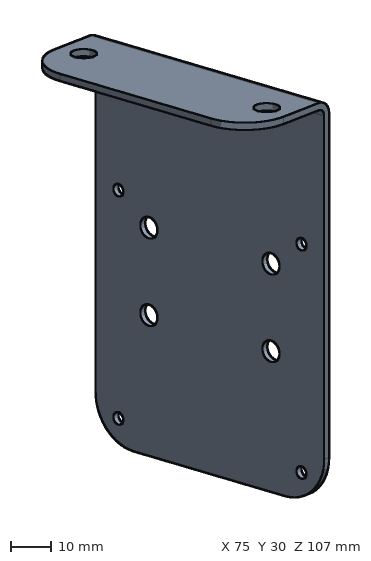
import cadquery as cq

width = 75.0
depth = 30.0
height = 107.0

thickness = 1.9
inner_bend_radius = 2.0
outer_bend_radius = inner_bend_radius + thickness
corner_radius = 12.7

small_hole_diameter = 3.2
small_hole_spacing = 60.0
small_hole_bottom = 7.5
large_hole_diameter = 5.6
large_hole_spacing_x = 40.0
large_hole_spacing_z = 23.0
large_hole_bottom = 37.0

flange_hole_diameter = 6.5
flange_hole_setback = 15.0


def bent_sheet():
    """L-shaped sheet: upright with its back face at Y = 0, flange toward -Y."""
    profile = (
        cq.Workplane("YZ")
        .polyline([
            (0, 0),
            (0, height),
            (-depth, height),
            (-depth, height - thickness),
            (-thickness, height - thickness),
            (-thickness, 0),
        ])
        .close()
        .extrude(width / 2, both=True)
    )
    inner_bend = cq.selectors.NearestToPointSelector((0, -thickness, height - thickness))
    outer_bend = cq.selectors.NearestToPointSelector((0, 0, height))
    return (
        profile
        .edges(inner_bend).fillet(inner_bend_radius)
        .edges(outer_bend).fillet(outer_bend_radius)
    )


def round_free_corners(sheet):
    """Round the two lower corners of the upright and the two front corners of the flange."""
    return (
        sheet
        .faces("<Z").edges("|Y").fillet(corner_radius)
        .faces("<Y").edges("|Z").fillet(corner_radius)
    )


def upright_holes(diameter, spacing_x, spacing_z, bottom):
    """Cutters for a rectangle of four holes through the upright."""
    return (
        cq.Workplane("XZ")
        .center(0, bottom + spacing_z / 2)
        .rect(spacing_x, spacing_z, forConstruction=True)
        .vertices()
        .circle(diameter / 2)
        .extrude(thickness)
    )


def flange_holes():
    """Cutters for the pair of holes through the top flange."""
    half_spacing = small_hole_spacing / 2
    return (
        cq.Workplane("XY", origin=(0, -flange_hole_setback, height))
        .pushPoints([(-half_spacing, 0), (half_spacing, 0)])
        .circle(flange_hole_diameter / 2)
        .extrude(-thickness)
    )


result = (
    round_free_corners(bent_sheet())
    .cut(upright_holes(small_hole_diameter, small_hole_spacing, small_hole_spacing, small_hole_bottom))
    .cut(upright_holes(large_hole_diameter, large_hole_spacing_x, large_hole_spacing_z, large_hole_bottom))
    .cut(flange_holes())
)